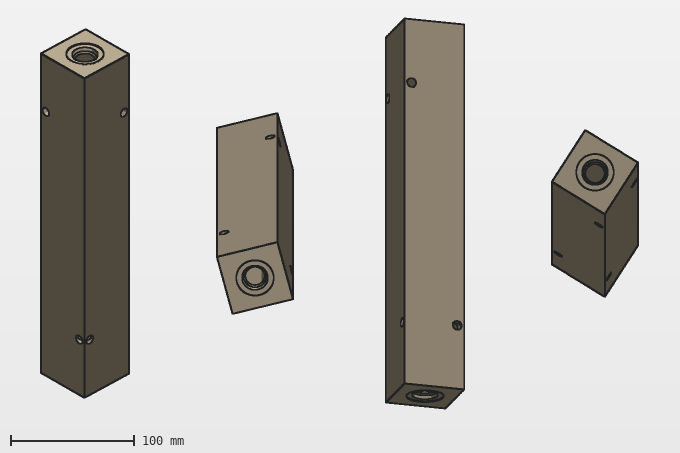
import cadquery as cq

length = 311.0
width = 50.7
edge_chamfer = 0.3

bore_diameter = 15.5
seat_cone_diameter = 21.0
seat_cone_depth = 2.8
entry_cone_diameter = 18.5
entry_cone_depth = (entry_cone_diameter - bore_diameter) / 2
recess_diameter = 30.2
recess_depth = 1.0

cross_hole_diameter = 7.5
cross_hole_offset = 19.3
cross_hole_end_distance = 54.0


def make_bar():
    return cq.Workplane("XY").box(width, width, length).edges().chamfer(edge_chamfer)


def make_half_bore():
    """Upper half of the bore, from the middle of the bar to its top face."""
    top = length / 2
    recess_floor = top - recess_depth
    entry = recess_floor - seat_cone_depth
    half_section = [
        (0, 0),
        (bore_diameter / 2, 0),
        (bore_diameter / 2, entry - entry_cone_depth),
        (entry_cone_diameter / 2, entry),
        (seat_cone_diameter / 2, recess_floor),
        (recess_diameter / 2, recess_floor),
        (recess_diameter / 2, top),
        (0, top),
    ]
    return cq.Workplane("XZ").polyline(half_section).close().revolve(360, (0, 0), (0, 1))


def make_cross_hole(plane, across, height):
    hole = cq.Workplane(plane).center(across, height).circle(cross_hole_diameter / 2)
    return hole.extrude(width, both=True)


upper_bore = make_half_bore()
bore = upper_bore.union(upper_bore.mirror("XY"))
result = make_bar().cut(bore)

hole_height = length / 2 - cross_hole_end_distance
for side in (1, -1):
    result = result.cut(make_cross_hole("XZ", -side * cross_hole_offset, side * hole_height))
    result = result.cut(make_cross_hole("YZ", side * cross_hole_offset, side * hole_height))